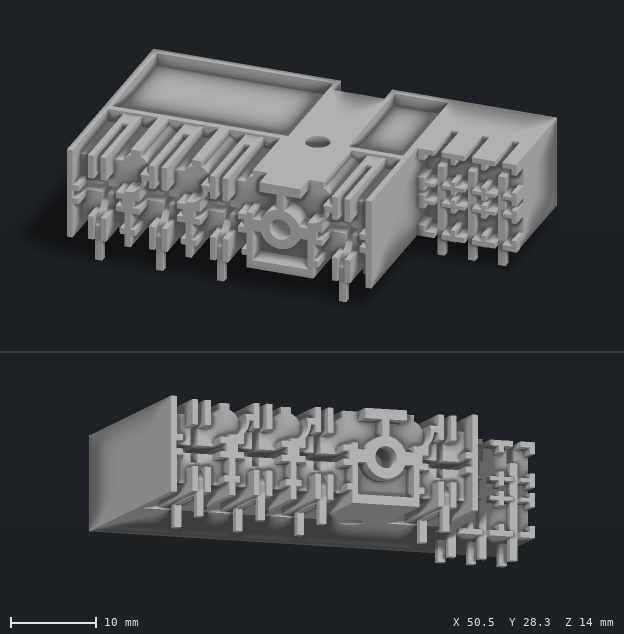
import cadquery as cq

LENGTH = 50.5
DEPTH = 28.3
HEIGHT = 11.35
MID_Z = 5.65
POWER_LENGTH = 38.1
SIGNAL_FRONT = 14.95
END_WALL = 0.7
PIN_LENGTH = 2.65
PIN_DEPTH = 1.0

PITCH = 7.65
FIRST_TERMINAL = 3.8
TERMINALS = [FIRST_TERMINAL + PITCH * i for i in (0, 1, 2, 4)]
SCREW_X = FIRST_TERMINAL + 3 * PITCH
POSTS = [FIRST_TERMINAL + PITCH * (i + 0.5) for i in range(4)]
CHAMBER_LEFT = END_WALL
CHAMBER_RIGHT = POWER_LENGTH - END_WALL

CHAMBER_DEPTH = 2.7
GROOVE_BACK = 11.65
GROOVE_FLOOR = 4.1
PRONG_WIDTH = 2.25
PRONG_INNER = 2.45
PRONG_OUTER = 5.45
CROSS_SLOT_BACK = 9.25
CROSS_SLOT_WIDTH = 6.2
CROSS_SLOT_HEIGHT = 0.95

NECK = 0.7
STEM = 1.2
ARM_REACH = 1.45
END_ARM_REACH = 0.75
ARM_HEIGHT = 2.4
TOOTH_REACH = 0.95
TOOTH_HEIGHT = 0.75
BEAD_Z = 8.95
BEAD_RADIUS = 1.75
TROUGH_WALL = 0.35
BRIDGE_THICKNESS = 0.75
BRIDGE_BOTTOM = MID_Z + GROOVE_FLOOR - BRIDGE_THICKNESS

BLADE = 0.85
BLADE_FRONT = 0.5
BLADE_SLOPE = 2.25
BLADE_SHELF = 4.1
CONTACT_FRONT = 6.75
CONTACT_WIDTH = 4.45

BOSS_RADIUS = 2.5
BORE_RADIUS = 1.3
BORE_DEPTH = 5.05
WEB_HEIGHT = 1.5
CAP_WIDTH = 5.15
CAP_THICKNESS = 1.2
BOSS_STEM = 0.85
BASE_THICKNESS = 1.05
NOTCH_WIDTH = 6.4
NOTCH_DEPTH = 2.6
NOTCH_FLOOR = 1.0
FIXING_Y = 12.3
FIXING_RADIUS = 1.5

RECESS_DEPTH = 1.65
RECESS_FRONT = 12.5
RECESS_BACK = 27.35
RECESS_EDGE = 0.8
RECESS_FROM_SCREW = 3.8

SIGNAL_PITCH = PITCH / 2
FIRST_SIGNAL = 40.65
SIGNALS = [FIRST_SIGNAL + SIGNAL_PITCH * i for i in range(3)]
SIGNAL_BLADE = 0.9
SIGNAL_BLADE_FRONT = 16.0
SIGNAL_SLOT_BACK = 20.7
SIGNAL_BLADE_TOP = 8.95
SIGNAL_CHAMBER_DEPTH = 2.35
CELL_WIDTH = 3.25
BAR_OFFSET = 1.15
BAR_LEVELS = (MID_Z - BAR_OFFSET, MID_Z + BAR_OFFSET)
BAR_THICKNESS = 0.45
BAR_RIB_HEIGHT = 1.65
RIM_THICKNESS = 0.65
RIM_RIB_HEIGHT = 1.4


def block(x0, x1, y0, y1, z0, z1):
    return cq.Workplane("XY").box(x1 - x0, y1 - y0, z1 - z0, centered=False).translate((x0, y0, z0))


def rod(x, z, radius, y0, y1):
    """Cylinder parallel to Y."""
    return cq.Workplane("XZ", origin=(x, y0, z)).circle(radius).extrude(y0 - y1)


def blade(x, width, points):
    """Plate centred on x, with its outline given as (y, z) points."""
    return cq.Workplane("YZ", origin=(x - width / 2, 0, 0)).polyline(points).close().extrude(width)


def housing():
    shell = block(0, POWER_LENGTH, 0, DEPTH, 0, HEIGHT)
    shell = shell.union(block(POWER_LENGTH, LENGTH, SIGNAL_FRONT, DEPTH, 0, HEIGHT))
    shell = shell.cut(block(CHAMBER_LEFT, CHAMBER_RIGHT, 0, CHAMBER_DEPTH, 0, HEIGHT))
    recesses = (
        (RECESS_EDGE, SCREW_X - RECESS_FROM_SCREW),
        (SCREW_X + RECESS_FROM_SCREW, POWER_LENGTH - RECESS_EDGE),
    )
    for x0, x1 in recesses:
        shell = shell.cut(block(x0, x1, RECESS_FRONT, RECESS_BACK, HEIGHT - RECESS_DEPTH, HEIGHT))
    return shell


def long_grooves(x):
    """Grooves above and below one terminal; the beads of the posts bulge into the upper one."""
    at_left_end = x == TERMINALS[0]
    at_right_end = x == TERMINALS[-1]
    left_post = x - PITCH / 2
    right_post = x + PITCH / 2

    def groove(post_width, z0, z1):
        x0 = CHAMBER_LEFT if at_left_end else left_post + post_width / 2
        x1 = CHAMBER_RIGHT if at_right_end else right_post - post_width / 2
        return block(x0, x1, CHAMBER_DEPTH, GROOVE_BACK, z0, z1)

    upper = groove(STEM, MID_Z + GROOVE_FLOOR, HEIGHT)
    if not at_left_end:
        upper = upper.cut(rod(left_post, BEAD_Z, BEAD_RADIUS, CHAMBER_DEPTH, GROOVE_BACK))
    if not at_right_end:
        upper = upper.cut(rod(right_post, BEAD_Z, BEAD_RADIUS, CHAMBER_DEPTH, GROOVE_BACK))
    lower = groove(NECK, 0, MID_Z - GROOVE_FLOOR)
    return upper.union(lower)


def arm(x0, x1):
    return block(x0, x1, 0, CHAMBER_DEPTH, MID_Z - ARM_HEIGHT / 2, MID_Z + ARM_HEIGHT / 2)


def post(x, has_left_arm, has_right_arm):
    """Post at the front between two chambers, with a round trough on top."""
    tooth_bottom = MID_Z - GROOVE_FLOOR
    tooth_top = tooth_bottom + TOOTH_HEIGHT
    trough_bottom = BEAD_Z - BEAD_RADIUS
    left_top = BEAD_Z if has_left_arm else trough_bottom
    right_top = BEAD_Z if has_right_arm else trough_bottom
    shape = block(x - NECK / 2, x, 0, CHAMBER_DEPTH, 0, left_top)
    shape = shape.union(block(x, x + NECK / 2, 0, CHAMBER_DEPTH, 0, right_top))
    if has_left_arm:
        shape = shape.union(arm(x - ARM_REACH, x))
        shape = shape.union(block(x - TOOTH_REACH, x, 0, CHAMBER_DEPTH, tooth_bottom, tooth_top))
    if has_right_arm:
        outer_radius = BEAD_RADIUS + TROUGH_WALL
        prong_side = x + PITCH / 2 - PRONG_WIDTH / 2
        quadrant = block(x, x + outer_radius, 0, CHAMBER_DEPTH, MID_Z, BRIDGE_BOTTOM)
        trough = rod(x, BEAD_Z, outer_radius, 0, CHAMBER_DEPTH).intersect(quadrant)
        shape = shape.union(arm(x, x + ARM_REACH)).union(trough)
        arm_top = trough_bottom + TROUGH_WALL
        shape = shape.union(block(x, x + ARM_REACH, 0, CHAMBER_DEPTH, MID_Z, arm_top))
        shape = shape.union(block(x, prong_side, 0, CHAMBER_DEPTH, BRIDGE_BOTTOM, MID_Z + GROOVE_FLOOR))
        shape = shape.union(block(x, x + TOOTH_REACH, 0, CHAMBER_DEPTH, tooth_bottom, tooth_top))
    return shape.cut(rod(x, BEAD_Z, BEAD_RADIUS, 0, CHAMBER_DEPTH))


def prongs(x):
    x0 = x - PRONG_WIDTH / 2
    x1 = x + PRONG_WIDTH / 2
    upper = block(x0, x1, 0, GROOVE_BACK, MID_Z + PRONG_INNER, MID_Z + PRONG_OUTER)
    lower = block(x0, x1, 0, GROOVE_BACK, MID_Z - PRONG_OUTER, MID_Z - PRONG_INNER)
    return upper.union(lower)


def cross_slot(x):
    z0 = MID_Z - CROSS_SLOT_HEIGHT / 2
    x0 = x - CROSS_SLOT_WIDTH / 2
    upright = block(x - BLADE / 2, x + BLADE / 2, 0, CROSS_SLOT_BACK, 0, HEIGHT)
    level = block(x0, x0 + CROSS_SLOT_WIDTH, 0, CROSS_SLOT_BACK, z0, z0 + CROSS_SLOT_HEIGHT)
    return upright.union(level)


def power_contact(x):
    """Upright blade with two pins and a level plate, standing in the cross-shaped slot."""
    z0 = MID_Z - CROSS_SLOT_HEIGHT / 2
    z1 = MID_Z + CROSS_SLOT_HEIGHT / 2
    upright = blade(x, BLADE, [
        (BLADE_FRONT, -PIN_LENGTH),
        (BLADE_FRONT + PIN_DEPTH, -PIN_LENGTH),
        (BLADE_FRONT + PIN_DEPTH, 0),
        (CROSS_SLOT_BACK - PIN_DEPTH, 0),
        (CROSS_SLOT_BACK - PIN_DEPTH, -PIN_LENGTH),
        (CROSS_SLOT_BACK, -PIN_LENGTH),
        (CROSS_SLOT_BACK, z1),
        (CONTACT_FRONT, z1),
        (CONTACT_FRONT, BLADE_SHELF),
        (BLADE_FRONT + BLADE_SLOPE, BLADE_SHELF),
        (BLADE_FRONT, BLADE_SHELF - BLADE_SLOPE),
    ])
    left_half = block(x - CONTACT_WIDTH / 2, x, CONTACT_FRONT, CROSS_SLOT_BACK, z0, z1)
    right_half = block(x, x + CONTACT_WIDTH / 2, CONTACT_FRONT + BLADE, CROSS_SLOT_BACK, z0, z1)
    return upright.union(left_half).union(right_half)


def screw_boss():
    """Boss at the front, held by a web, a stem under a cap plate and a base plate."""
    def centred(width, z0, z1):
        return block(SCREW_X - width / 2, SCREW_X + width / 2, 0, CHAMBER_DEPTH, z0, z1)

    boss = rod(SCREW_X, MID_Z, BOSS_RADIUS, 0, CHAMBER_DEPTH)
    boss = boss.union(centred(PITCH, MID_Z - WEB_HEIGHT / 2, MID_Z + WEB_HEIGHT / 2))
    boss = boss.union(centred(BOSS_STEM, MID_Z, HEIGHT))
    boss = boss.union(centred(CAP_WIDTH, HEIGHT - CAP_THICKNESS, HEIGHT))
    return boss.union(centred(PITCH, 0, BASE_THICKNESS))


def back_notch():
    """Notch in the top back edge, with the top of a boss standing in it."""
    y0 = DEPTH - NOTCH_DEPTH
    x0 = SCREW_X - NOTCH_WIDTH / 2
    notch = block(x0, x0 + NOTCH_WIDTH, y0, DEPTH, MID_Z + NOTCH_FLOOR, HEIGHT)
    return notch.cut(rod(SCREW_X, MID_Z, BOSS_RADIUS, y0, DEPTH))


def signal_chamber():
    """Space in front of the signal wall: everything except the rims, bars and ribs."""
    y0 = SIGNAL_FRONT
    y1 = SIGNAL_FRONT + SIGNAL_CHAMBER_DEPTH
    chamber = block(POWER_LENGTH, LENGTH, y0, y1, RIM_THICKNESS, HEIGHT - RIM_THICKNESS)
    rib_spans = [(0, RIM_RIB_HEIGHT), (HEIGHT - RIM_RIB_HEIGHT, HEIGHT)]
    for z in BAR_LEVELS:
        bar = block(POWER_LENGTH, LENGTH, y0, y1, z - BAR_THICKNESS / 2, z + BAR_THICKNESS / 2)
        chamber = chamber.cut(bar)
        rib_spans.append((z - BAR_RIB_HEIGHT / 2, z + BAR_RIB_HEIGHT / 2))
    for z0, z1 in rib_spans:
        ribs = block(POWER_LENGTH, LENGTH, y0, y1, z0, z1)
        for x in SIGNALS:
            ribs = ribs.cut(block(x - CELL_WIDTH / 2, x + CELL_WIDTH / 2, y0, y1, z0, z1))
        chamber = chamber.cut(ribs)
    return chamber


def signal_slot(x):
    return block(x - SIGNAL_BLADE / 2, x + SIGNAL_BLADE / 2, SIGNAL_FRONT, SIGNAL_SLOT_BACK, 0, HEIGHT)


def signal_contact(x):
    return blade(x, SIGNAL_BLADE, [
        (SIGNAL_BLADE_FRONT, -PIN_LENGTH),
        (SIGNAL_BLADE_FRONT + PIN_DEPTH, -PIN_LENGTH),
        (SIGNAL_BLADE_FRONT + PIN_DEPTH, 0),
        (SIGNAL_SLOT_BACK - PIN_DEPTH, 0),
        (SIGNAL_SLOT_BACK - PIN_DEPTH, -PIN_LENGTH),
        (SIGNAL_SLOT_BACK, -PIN_LENGTH),
        (SIGNAL_SLOT_BACK, SIGNAL_BLADE_TOP),
        (SIGNAL_BLADE_FRONT, SIGNAL_BLADE_TOP),
    ])


part = housing()

for terminal in TERMINALS:
    part = part.cut(long_grooves(terminal)).union(prongs(terminal))
for post_x in POSTS:
    part = part.union(post(post_x, post_x != POSTS[-1], post_x != POSTS[-2]))
part = part.union(arm(CHAMBER_LEFT, CHAMBER_LEFT + END_ARM_REACH))
part = part.union(arm(CHAMBER_RIGHT - END_ARM_REACH, CHAMBER_RIGHT))
part = part.union(screw_boss())
for terminal in TERMINALS:
    part = part.cut(cross_slot(terminal)).union(power_contact(terminal))

part = part.cut(rod(SCREW_X, MID_Z, BORE_RADIUS, 0, BORE_DEPTH))
fixing_hole = cq.Workplane("XY", origin=(SCREW_X, FIXING_Y, 0)).circle(FIXING_RADIUS).extrude(HEIGHT)
part = part.cut(fixing_hole).cut(back_notch())

part = part.cut(signal_chamber())
for signal in SIGNALS:
    part = part.cut(signal_slot(signal)).union(signal_contact(signal))

result = part